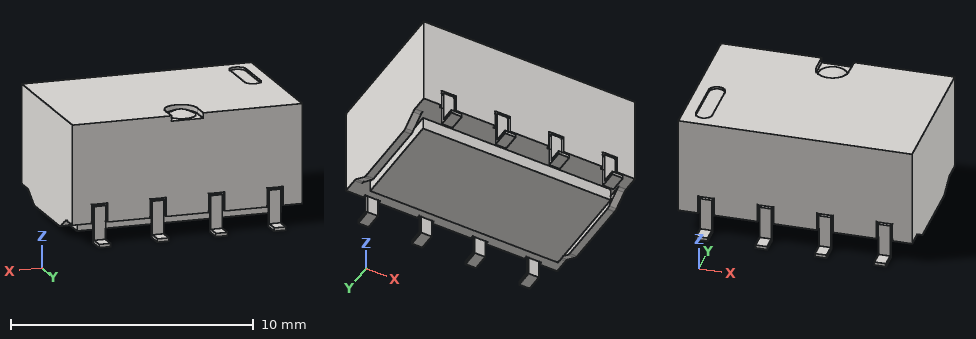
import cadquery as cq
import math


housing_length = 10.0
housing_width = 6.5
housing_top = 5.17
housing_bottom = 0.88

tab_thickness = 0.36
tab_bottom = 0.39
tab_top_width = 4.88
tab_bottom_width = 3.3
tab_corner_radius = 0.3

base_length = 8.88
base_width = 4.4
base_bottom = 0.29

lead_count = 4
lead_pitch = 2.54
lead_width = 0.5
lead_thickness = 0.15
lead_top = 1.59
foot_overhang = 0.64

lead_clearance = 0.1

mark_width = 0.7
mark_length = 2.6
mark_depth = 0.1
mark_x = -4.12
mark_y = -1.47

notch_width = 1.38
notch_depth = 0.23
dome_from_back = 0.8
dome_radius = 0.61
dome_height = 0.2

half_length = housing_length / 2
half_width = housing_width / 2


def block(length, width, bottom, top):
    """Box centred on the Z axis between two heights."""
    height = top - bottom
    return cq.Workplane("XY").workplane(offset=bottom).rect(length, width).extrude(height)


def end_tabs():
    """Tapered tabs, with eased corners, flush with both end faces."""
    tab_root = housing_bottom + tab_thickness
    profile = [
        (-half_width, tab_root),
        (-half_width, housing_bottom),
        (-tab_top_width / 2, housing_bottom),
        (-tab_bottom_width / 2, tab_bottom),
        (tab_bottom_width / 2, tab_bottom),
        (tab_top_width / 2, housing_bottom),
        (half_width, housing_bottom),
        (half_width, tab_root),
    ]
    tab = cq.Workplane("YZ").polyline(profile).close().extrude(tab_thickness)
    margin = 0.1
    corners = cq.selectors.BoxSelector(
        (-margin, -tab_top_width / 2 - margin, tab_bottom - margin),
        (tab_thickness + margin, tab_top_width / 2 + margin, housing_bottom + margin),
    )
    tab = tab.edges("|X").edges(corners).fillet(tab_corner_radius)
    left = tab.translate((-half_length, 0, 0))
    return left.union(left.mirror("YZ"))


def lead_recess():
    """Pocket in the front side wall around one lead, open at the bottom."""
    width = lead_width + 2 * lead_clearance
    height = lead_top + lead_clearance - housing_bottom
    corner = (-width / 2, -half_width, housing_bottom)
    return cq.Workplane("XY").box(width, lead_thickness, height, centered=False).translate(corner)


def lead():
    """L-shaped lead, flush with the front side wall, its foot pointing outwards."""
    outer = -half_width
    inner = outer + lead_thickness
    toe = outer - foot_overhang
    profile = [
        (inner, 0),
        (inner, lead_top),
        (outer, lead_top),
        (outer, lead_thickness),
        (toe, lead_thickness),
        (toe, 0),
    ]
    return cq.Workplane("YZ").polyline(profile).close().extrude(lead_width / 2, both=True)


def at_lead_positions(shape):
    """Copies of a front-side shape at every lead position on both long sides."""
    copies = cq.Workplane("XY")
    for index in range(lead_count):
        x = (index - (lead_count - 1) / 2) * lead_pitch
        front = shape.translate((x, 0, 0))
        copies = copies.add(front).add(front.mirror("XZ"))
    return copies.combine()


def pin_one_mark():
    """Shallow slot with round ends, running along Y."""
    plane = cq.Workplane("XY").workplane(offset=housing_top - mark_depth)
    return plane.center(mark_x, mark_y).slot2D(mark_length, mark_width, 90).extrude(mark_depth)


def notch():
    """Round-ended notch running out through the back face."""
    dome_y = half_width - dome_from_back
    radius = notch_width / 2
    return (
        cq.Workplane("XY")
        .workplane(offset=housing_top - notch_depth)
        .moveTo(-radius, half_width)
        .lineTo(-radius, dome_y)
        .threePointArc((0, dome_y - radius), (radius, dome_y))
        .lineTo(radius, half_width)
        .close()
        .extrude(notch_depth)
    )


def dome():
    """Spherical cap standing on the notch floor."""
    sphere_radius = (dome_radius**2 + dome_height**2) / (2 * dome_height)
    half_angle = math.asin(dome_radius / sphere_radius) / 2
    arc_middle = (
        sphere_radius * math.sin(half_angle),
        dome_height - sphere_radius * (1 - math.cos(half_angle)),
    )
    cap = (
        cq.Workplane("YZ")
        .lineTo(dome_radius, 0)
        .threePointArc(arc_middle, (0, dome_height))
        .close()
        .revolve(360, (0, 0), (0, 1))
    )
    return cap.translate((0, half_width - dome_from_back, housing_top - notch_depth))


housing = block(housing_length, housing_width, housing_bottom, housing_top)
base = block(base_length, base_width, base_bottom, housing_bottom)

result = (
    housing.union(end_tabs())
    .union(base)
    .cut(at_lead_positions(lead_recess()))
    .union(at_lead_positions(lead()))
    .cut(pin_one_mark())
    .cut(notch())
    .union(dome())
)